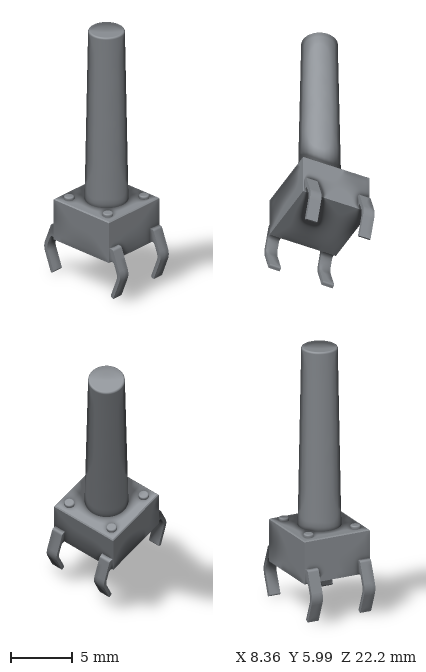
import cadquery as cq
import math

overall_width = 8.36
overall_height = 22.18

housing_width = 6.1
housing_depth = 5.99
housing_bottom = 3.17
housing_top = 6.88
housing_edge_chamfer = 0.09

plunger_base_diameter = 3.55
plunger_top_diameter = 2.97
plunger_edge_radius = 0.15

rivet_diameter = 0.85
rivet_height = 0.27
rivet_edge_radius = 0.1
rivet_spacing = 4.28

lead_width = 1.0
lead_spacing = 4.8
lead_thickness = 0.33
lead_top = 4.44
lead_tilt = math.radians(21)
bend_height = 2.17
bend_outer_radius = 1.29
bend_inner_radius = bend_outer_radius - lead_thickness
shoulder_radius = 0.22
tip_radius = 0.13
arch_rise = 0.15


def make_housing():
    height = housing_top - housing_bottom
    block = cq.Workplane("XY").workplane(offset=housing_bottom)
    block = block.rect(housing_width, housing_depth).extrude(height)
    return block.faces(">Z").edges().chamfer(housing_edge_chamfer)


def make_plunger():
    base_radius = plunger_base_diameter / 2
    top_radius = plunger_top_diameter / 2
    half_profile = (
        cq.Workplane("XZ")
        .moveTo(0, housing_top)
        .lineTo(base_radius, housing_top)
        .lineTo(top_radius, overall_height)
        .lineTo(0, overall_height)
        .close()
    )
    cone = half_profile.revolve(360, (0, 0), (0, 1))
    return cone.faces(">Z").edges().fillet(plunger_edge_radius)


def make_rivets():
    heads = (
        cq.Workplane("XY")
        .workplane(offset=housing_top)
        .rect(rivet_spacing, rivet_spacing, forConstruction=True)
        .vertices()
        .circle(rivet_diameter / 2)
        .extrude(rivet_height)
    )
    return heads.faces(">Z").edges().fillet(rivet_edge_radius)


def make_lead():
    """One lead on the +X side, centred on y = 0."""
    housing_side = housing_width / 2
    bend_centre = overall_width / 2 - bend_outer_radius
    slope = math.tan(lead_tilt)

    outer_apex = bend_centre + bend_outer_radius / math.cos(lead_tilt)
    inner_apex = bend_centre + bend_inner_radius / math.cos(lead_tilt)

    shoulder = (outer_apex - slope * (lead_top - bend_height), lead_top)
    outer_bend = (outer_apex, bend_height)
    outer_tip = (outer_apex - slope * bend_height, 0)
    inner_tip = (
        outer_tip[0] - lead_thickness * math.cos(lead_tilt),
        lead_thickness * math.sin(lead_tilt),
    )
    inner_bend = (inner_apex, bend_height)

    arch_start = (inner_apex - slope * (housing_bottom - bend_height), housing_bottom)
    arch_middle = ((arch_start[0] + housing_side) / 2, housing_bottom + arch_rise)

    lead = (
        cq.Workplane("XZ")
        .moveTo(housing_side, lead_top)
        .lineTo(*shoulder)
        .lineTo(*outer_bend)
        .lineTo(*outer_tip)
        .lineTo(*inner_tip)
        .lineTo(*inner_bend)
        .lineTo(*arch_start)
        .threePointArc(arch_middle, (housing_side, housing_bottom))
        .close()
        .extrude(lead_width / 2, both=True)
    )
    rounded_corners = [
        (outer_bend, bend_outer_radius),
        (inner_bend, bend_inner_radius),
        (shoulder, shoulder_radius),
        (inner_tip, tip_radius),
    ]
    for (x, z), radius in rounded_corners:
        corner = cq.selectors.NearestToPointSelector((x, 0, z))
        lead = lead.edges("|Y").edges(corner).fillet(radius)
    return lead


result = make_housing().union(make_plunger()).union(make_rivets())

right_lead = make_lead()
left_lead = right_lead.mirror("YZ")
for y in (-lead_spacing / 2, lead_spacing / 2):
    result = result.union(right_lead.translate((0, y, 0)))
    result = result.union(left_lead.translate((0, y, 0)))